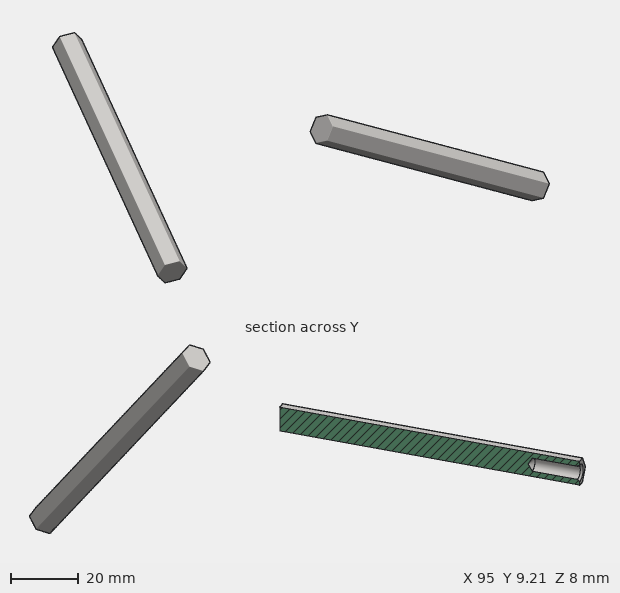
import cadquery as cq
import math

length = 95.0
side_count = 6
across_flats = 8.0
edge_radius = 0.1

hole_diameter = 4.2
hole_depth = 15.0
drill_point_angle = 118.0
countersink_diameter = 5.5
countersink_angle = 90.0

across_corners = across_flats / math.cos(math.pi / side_count)
hole_radius = hole_diameter / 2
countersink_radius = countersink_diameter / 2
countersink_depth = (countersink_radius - hole_radius) / math.tan(math.radians(countersink_angle / 2))
drill_point_length = hole_radius / math.tan(math.radians(drill_point_angle / 2))


def hexagonal_bar():
    """Bar from X = 0 to X = length, with corners pointing along Y."""
    bar = cq.Workplane("YZ").polygon(side_count, across_corners).extrude(length)
    return bar.edges("|X or >X").fillet(edge_radius)


def drilled_hole():
    """Countersunk blind hole with a conical bottom, revolved about the X axis."""
    half_section = [
        (0, 0),
        (0, countersink_radius),
        (countersink_depth, hole_radius),
        (hole_depth, hole_radius),
        (hole_depth + drill_point_length, 0),
    ]
    return cq.Workplane("XY").polyline(half_section).close().revolve(360, (0, 0, 0), (1, 0, 0))


result = hexagonal_bar().cut(drilled_hole())